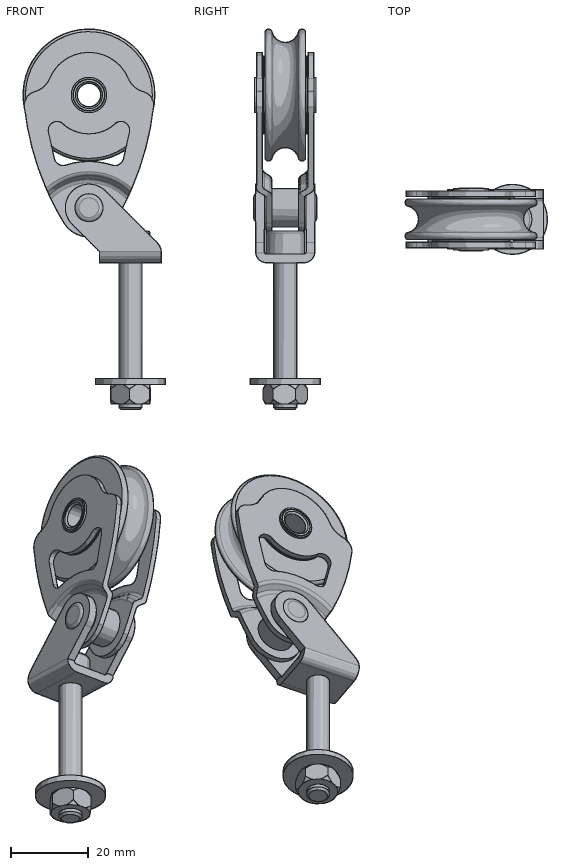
import cadquery as cq
import math


sheave_diameter = 34.0
sheave_width = 10.5
rim_crown = 0.7
groove_width = 6.8
groove_depth = 3.4
axle_diameter = 8.0
sheave_bore = 8.2
boss_radius = 10.0
boss_height = 0.3

sheet = 1.5
cheek_outer_y = 7.3
tab_outer_y = 4.9
pin_z = -29.0
dome_radius = 11.0
ear_x = 13.0
ear_z = -2.6
ear_radius = 3.6
neck_radius = 6.0
side_radius = 73.5
tab_radius = 7.5
joggle_center_z = -36.1
joggle_radius = 14.1
joggle_angle = 57.0
joggle_round = 1.2
cheek_reach = 58.8

slot_round = 2.3
slot_top_x = 8.2
slot_bottom_x = 6.7
slot_floor_radius = 19.0

axle_bore = 6.0
collar_diameter = 9.1
collar_height = 0.6
countersink = 0.5

pin_diameter = 7.8
pin_head_height = 0.5
pin_end_round = 1.4
spacer_diameter = 10.0
thin_washer_diameter = 11.2

bracket_half_width = 7.6
bracket_sheet = 2.3
bend_radius = 2.9
base_length = 16.0
base_bottom_z = -43.2
arm_radius = 6.1
arm_toe_round = 3.9

bolt_x = 10.7
bolt_diameter = 6.0
bolt_tip_chamfer = 0.6
bolt_head_diameter = 10.0
bolt_head_height = 6.0
bolt_head_round = 0.6
overall_height = 98.0
washer_diameter = 18.0
washer_hole = 6.4
washer_thickness = 1.6
nut_flats = 10.0
nut_height = 5.0
nut_chamfer_diameter = 9.1
nut_turn = -2.5
bolt_protrusion = 1.5

sheave_radius = sheave_diameter / 2
bolt_end_z = sheave_radius - overall_height
boss_y = sheave_width / 2 + boss_height
cheek_inner_y = cheek_outer_y - sheet
tab_inner_y = tab_outer_y - sheet
hub = (0.0, 0.0)
pin = (0.0, pin_z)
joggle_center = (0.0, joggle_center_z)


def toward(start, end, distance):
    """Point at a given distance from start on the line to end."""
    length = math.dist(start, end)
    return (
        start[0] + (end[0] - start[0]) * distance / length,
        start[1] + (end[1] - start[1]) * distance / length,
    )


def meeting(a, a_distance, b, b_distance):
    """Point at the given distances from a and b, on the left of the line from a to b."""
    span = math.dist(a, b)
    along = (a_distance**2 - b_distance**2 + span**2) / (2 * span)
    across = math.sqrt(a_distance**2 - along**2)
    ux = (b[0] - a[0]) / span
    uz = (b[1] - a[1]) / span
    return (a[0] + ux * along - uz * across, a[1] + uz * along + ux * across)


def flip(point):
    """Mirror image of a point across the Z axis."""
    return (-point[0], point[1])


def arc_middle(center, radius, start, end):
    """Middle of the shorter arc between two points on a circle."""
    halfway = ((start[0] + end[0]) / 2, (start[1] + end[1]) / 2)
    return toward(center, halfway, radius)


def disc(diameter, y_start, y_end, center=hub):
    """Cylinder along Y between two Y positions."""
    return (
        cq.Workplane("XZ", origin=(0, y_start, 0))
        .center(*center)
        .circle(diameter / 2)
        .extrude(y_start - y_end)
    )


def post(diameter, z_start, z_end):
    """Cylinder along the bolt axis between two heights."""
    return (
        cq.Workplane("XY", origin=(bolt_x, 0, z_start))
        .circle(diameter / 2)
        .extrude(z_end - z_start)
    )


def make_sheave():
    """Grooved wheel with domed rims and a low boss on each side."""
    half = sheave_width / 2
    groove_half = groove_width / 2
    rim_middle = (half + groove_half) / 2
    shoulder_radius = sheave_radius - rim_crown
    body = (
        cq.Workplane("XY")
        .moveTo(0, -half)
        .lineTo(shoulder_radius, -half)
        .threePointArc((sheave_radius, -rim_middle), (shoulder_radius, -groove_half))
        .threePointArc((sheave_radius - groove_depth, 0), (shoulder_radius, groove_half))
        .threePointArc((sheave_radius, rim_middle), (shoulder_radius, half))
        .lineTo(0, half)
        .close()
        .revolve(360, (0, 0, 0), (0, 1, 0))
    )
    body = body.union(disc(2 * boss_radius, -boss_y, boss_y))
    return body.cut(disc(sheave_bore, -boss_y, boss_y))


def cheek_outline():
    """Outline of the cheek: a dome, two ears, two long curved sides and a round tab."""
    ear = (ear_x, ear_z)
    neck = meeting(hub, dome_radius + neck_radius, ear, ear_radius + neck_radius)
    side = meeting(pin, side_radius - tab_radius, ear, side_radius - ear_radius)
    dome_end = toward(hub, neck, dome_radius)
    ear_start = toward(neck, ear, neck_radius)
    ear_end = toward(side, ear, side_radius)
    tab_end = toward(side, pin, side_radius)
    neck_middle = arc_middle(neck, neck_radius, dome_end, ear_start)
    ear_middle = arc_middle(ear, ear_radius, ear_start, ear_end)
    side_middle = arc_middle(side, side_radius, ear_end, tab_end)
    return (
        cq.Workplane("XZ")
        .moveTo(*flip(dome_end))
        .threePointArc((0, dome_radius), dome_end)
        .threePointArc(neck_middle, ear_start)
        .threePointArc(ear_middle, ear_end)
        .threePointArc(side_middle, tab_end)
        .threePointArc((0, pin_z - tab_radius), flip(tab_end))
        .threePointArc(flip(side_middle), flip(ear_end))
        .threePointArc(flip(ear_middle), flip(ear_start))
        .threePointArc(flip(neck_middle), flip(dome_end))
        .close()
    )


def slot_outline():
    """Smile-shaped slot between an arc about the hub and an arc about the joggle centre."""
    top_reach = boss_radius + slot_round
    bottom_reach = slot_floor_radius + slot_round
    top = (slot_top_x, -math.sqrt(top_reach**2 - slot_top_x**2))
    bottom = (slot_bottom_x, joggle_center_z + math.sqrt(bottom_reach**2 - slot_bottom_x**2))
    lean = math.atan2(top[0] - bottom[0], top[1] - bottom[1])
    outward = (slot_round * math.cos(lean), -slot_round * math.sin(lean))
    ceiling_end = toward(hub, top, boss_radius)
    side_top = (top[0] + outward[0], top[1] + outward[1])
    side_bottom = (bottom[0] + outward[0], bottom[1] + outward[1])
    floor_end = toward(joggle_center, bottom, slot_floor_radius)
    top_middle = arc_middle(top, slot_round, ceiling_end, side_top)
    bottom_middle = arc_middle(bottom, slot_round, side_bottom, floor_end)
    return (
        cq.Workplane("XZ")
        .moveTo(*flip(ceiling_end))
        .threePointArc((0, -boss_radius), ceiling_end)
        .threePointArc(top_middle, side_top)
        .lineTo(*side_bottom)
        .threePointArc(bottom_middle, floor_end)
        .threePointArc((0, joggle_center_z + slot_floor_radius), flip(floor_end))
        .threePointArc(flip(bottom_middle), flip(side_bottom))
        .lineTo(*flip(side_top))
        .threePointArc(flip(top_middle), flip(ceiling_end))
        .close()
    )


def make_cheek():
    """Cheek on the +Y side, its tab stepped inward by a round joggle."""
    angle = math.radians(joggle_angle)
    run = (cheek_outer_y - tab_outer_y) / math.tan(angle)
    inner_radius = joggle_radius + sheet * math.tan(angle / 2)
    joggled_sheet = (
        cq.Workplane("XY", origin=(0, 0, joggle_center_z))
        .moveTo(0, tab_outer_y)
        .lineTo(joggle_radius, tab_outer_y)
        .lineTo(joggle_radius + run, cheek_outer_y)
        .lineTo(cheek_reach, cheek_outer_y)
        .lineTo(cheek_reach, cheek_inner_y)
        .lineTo(inner_radius + run, cheek_inner_y)
        .lineTo(inner_radius, tab_inner_y)
        .lineTo(0, tab_inner_y)
        .close()
        .revolve(360, (0, 0, 0), (0, 1, 0))
    )
    bends = joggled_sheet.edges("%CIRCLE").filter(lambda edge: edge.radius() < cheek_reach)
    joggled_sheet = bends.fillet(joggle_round)
    blank = cheek_outline().extrude(-cheek_outer_y)
    slot = slot_outline().extrude(-cheek_outer_y)
    axle_hole = disc(collar_diameter, 0, cheek_outer_y)
    return joggled_sheet.intersect(blank).cut(slot).cut(axle_hole)


def make_axle():
    """Hollow axle with a collar at each end that traps the sheave and passes through the cheek."""
    end_y = cheek_outer_y + collar_height
    axle = disc(axle_diameter, -end_y, end_y)
    axle = axle.cut(disc(axle_bore, -end_y, end_y))
    axle = axle.faces("<Y or >Y").edges("%CIRCLE").edges(cq.selectors.RadiusNthSelector(0)).chamfer(countersink)
    for side in (-1, 1):
        collar = disc(collar_diameter, side * boss_y, side * end_y)
        collar = collar.cut(disc(axle_diameter, side * boss_y, side * cheek_outer_y))
        collar = collar.cut(disc(sheave_bore, side * cheek_outer_y, side * end_y))
        axle = axle.union(collar)
    return axle


def make_pin():
    """Swivel pin with rounded ends, a spacer tube and a thin washer beside each tab."""
    head_y = bracket_half_width + pin_head_height
    shank = disc(pin_diameter, -head_y, head_y, pin)
    shank = shank.faces("<Y or >Y").edges().fillet(pin_end_round)
    spacer = disc(spacer_diameter, -tab_outer_y, tab_outer_y, pin)
    inside_y = bracket_half_width - bracket_sheet
    stack = shank.union(spacer)
    for side in (-1, 1):
        stack = stack.union(disc(thin_washer_diameter, side * tab_outer_y, side * inside_y, pin))
    return stack


def make_bracket():
    """U-shaped bracket: a flat base with two 45 degree arms that hold the pin."""
    base_start = bolt_x - base_length / 2
    base_end = bolt_x + base_length / 2
    inner_half = bracket_half_width - bracket_sheet
    top_z = pin_z + arm_radius
    height = top_z - base_bottom_z
    channel = (
        cq.Workplane("YZ", origin=(base_start - base_length, 0, base_bottom_z))
        .center(0, height / 2)
        .rect(2 * bracket_half_width, height)
        .extrude(3 * base_length)
        .edges("|X and <Z")
        .fillet(bend_radius)
    )
    hollow = (
        cq.Workplane("YZ", origin=(base_start - base_length, 0, base_bottom_z + bracket_sheet))
        .center(0, height / 2)
        .rect(2 * inner_half, height)
        .extrude(3 * base_length)
        .edges("|X and <Z")
        .fillet(bend_radius - bracket_sheet)
    )
    diagonal = arm_radius * math.sqrt(0.5)
    heel_z = pin_z - 2 * diagonal - base_start
    toe_z = pin_z + 2 * diagonal - base_end
    profile = (
        cq.Workplane("XZ")
        .moveTo(base_start, base_bottom_z)
        .lineTo(base_end, base_bottom_z)
        .lineTo(base_end, toe_z)
        .lineTo(diagonal, pin_z + diagonal)
        .threePointArc((-diagonal, pin_z + diagonal), (-diagonal, pin_z - diagonal))
        .lineTo(base_start, heel_z)
        .close()
        .extrude(bracket_half_width, both=True)
        .edges("|Y and >X")
        .edges(">Z")
        .fillet(arm_toe_round)
    )
    return channel.cut(hollow).intersect(profile)


def make_bolt():
    """Bolt with a round head on the bracket base and a chamfered tip."""
    head_bottom = base_bottom_z + bracket_sheet
    shank = post(bolt_diameter, bolt_end_z, head_bottom).faces("<Z").chamfer(bolt_tip_chamfer)
    head = post(bolt_head_diameter, head_bottom, head_bottom + bolt_head_height)
    return shank.union(head.faces(">Z").edges().fillet(bolt_head_round))


def make_nut():
    """Hexagon nut with cone-chamfered ends, turned slightly off having corners on +Y and -Y."""
    nut_bottom = bolt_end_z + bolt_protrusion
    corners = nut_flats / math.cos(math.radians(30))
    inset = (corners - nut_chamfer_diameter) / 2
    hexagon = (
        cq.Workplane("XY", origin=(bolt_x, 0, nut_bottom))
        .transformed(rotate=(0, 0, 90 + nut_turn))
        .polygon(6, corners)
        .extrude(nut_height)
    )
    cone_height = inset * math.tan(math.radians(30))
    cones = post(corners, nut_bottom, nut_bottom + nut_height)
    cones = cones.faces("<Z or >Z").edges().chamfer(inset, cone_height)
    return hexagon.intersect(cones)


def make_washer():
    """Flat washer that rests on the nut."""
    washer_bottom = bolt_end_z + bolt_protrusion + nut_height
    washer_top = washer_bottom + washer_thickness
    return post(washer_diameter, washer_bottom, washer_top).cut(
        post(washer_hole, washer_bottom, washer_top)
    )


def make_frame():
    """Everything that carries the sheave: axle, cheeks, pin, bracket, bolt, nut and washer."""
    cheek = make_cheek()
    frame = make_axle().union(cheek).union(cheek.mirror("XZ"))
    for member in (make_pin(), make_bracket(), make_bolt(), make_nut(), make_washer()):
        frame = frame.union(member)
    return frame


sheave = make_sheave()
frame = make_frame()
result = cq.Compound.makeCompound([sheave.val(), frame.val()])